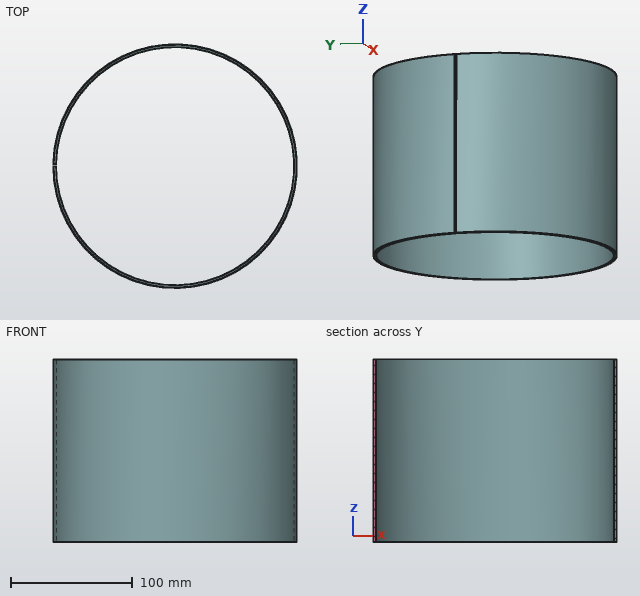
import cadquery as cq

outer_diameter = 200.0
height = 150.0
wall = 2.5

outer_chamfer = 0.5
inner_chamfer = 0.2

seam_angle = 1.0

outer_radius = outer_diameter / 2
inner_radius = outer_radius - wall


def wall_section():
    """Upright wall section in the XZ plane on the -X side, with all four corners bevelled."""
    outer_x = -outer_radius
    inner_x = -inner_radius
    return (
        cq.Workplane("XZ")
        .moveTo(outer_x + outer_chamfer, 0)
        .lineTo(outer_x, outer_chamfer)
        .lineTo(outer_x, height - outer_chamfer)
        .lineTo(outer_x + outer_chamfer, height)
        .lineTo(inner_x - inner_chamfer, height)
        .lineTo(inner_x, height - inner_chamfer)
        .lineTo(inner_x, inner_chamfer)
        .lineTo(inner_x - inner_chamfer, 0)
        .close()
    )


def sleeve():
    """Sweep the wall section around Z from -X by way of -Y, stopping short by the seam angle."""
    axis_start = (0, 0, 0)
    axis_end = (0, 1, 0)
    return wall_section().revolve(360.0 - seam_angle, axis_start, axis_end)


result = sleeve()